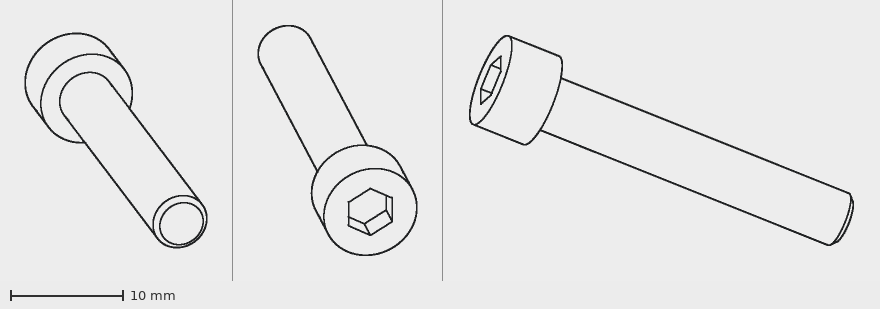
import cadquery as cq
import math

total_length = 35.0
head_length = 5.0
head_diameter = 8.5
shank_diameter = 5.0
tip_chamfer = 0.5
socket_across_flats = 4.0
socket_depth = 2.5
socket_sides = 6

socket_turn = 90.0

shank_length = total_length - head_length
socket_across_corners = socket_across_flats / math.cos(math.pi / socket_sides)

head = cq.Workplane("YZ").circle(head_diameter / 2).extrude(head_length)
shank = (
    cq.Workplane("YZ")
    .workplane(offset=head_length)
    .circle(shank_diameter / 2)
    .extrude(shank_length)
    .faces(">X")
    .chamfer(tip_chamfer)
)

socket = (
    cq.Workplane("YZ")
    .transformed(rotate=(0, 0, socket_turn))
    .polygon(socket_sides, socket_across_corners)
    .extrude(socket_depth)
)

result = head.union(shank).cut(socket)